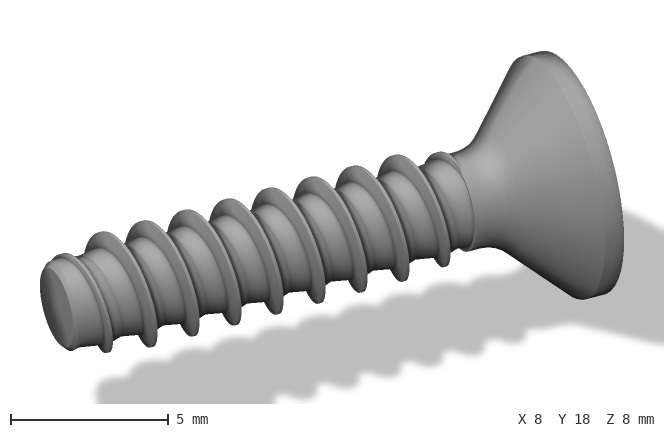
import cadquery as cq
import math

length = 18.0
head_radius = 4.0
rim_height = 0.68
rim_edge_fillet = 0.04
shank_radius = 1.58
shank_end_depth = 4.1
neck_radius = 1.48
tip_cone_height = 0.05
tip_radius = 1.39
tip_edge_bevel = 0.07

cone_angle = math.radians(45)
neck_start_radius = shank_radius + neck_radius * (1 - math.cos(cone_angle))
neck_start_depth = rim_height + (head_radius - neck_start_radius) / math.tan(cone_angle)
neck_end_depth = neck_start_depth + neck_radius * math.sin(cone_angle)

pitch = 1.45
crest_radius = 1.98
crest_half_width = 0.05
flank_width = 0.18
shoulder_radius = 1.51
root_radius = 1.4
head_side_slope_end = 0.55
tip_side_slope_end = pitch - head_side_slope_end

first_turn = -1
last_turn = 11
full_height_start = 1.0
full_height_end = 8.1
run_in_turns = 1.6
run_out_turns = 1.3
least_height_share = 0.05
points_per_turn = 24


def screw_body():
    """Head, neck and plain shank as one turned solid."""
    arc_center_radius = shank_radius + neck_radius
    half_angle = cone_angle / 2
    neck_middle = (
        arc_center_radius - neck_radius * math.cos(half_angle),
        neck_radius * math.sin(half_angle) - neck_end_depth,
    )
    body = (
        cq.Workplane("XY")
        .lineTo(head_radius, 0)
        .lineTo(head_radius, -rim_height)
        .lineTo(neck_start_radius, -neck_start_depth)
        .threePointArc(neck_middle, (shank_radius, -neck_end_depth))
        .lineTo(shank_radius, -shank_end_depth)
        .lineTo(0, -shank_end_depth)
        .close()
        .revolve(360, (0, 0, 0), (0, 1, 0))
    )
    rim_edges = body.edges("%CIRCLE").filter(lambda edge: math.isclose(edge.radius(), head_radius))
    return rim_edges.fillet(rim_edge_fillet)


def height_share(turn):
    """Share of the full ridge height, fading at the run-in and run-out."""
    run_in = 1 - (full_height_start - turn) / run_in_turns
    run_out = 1 - (turn - full_height_end) / run_out_turns
    return max(least_height_share, min(1, run_in, run_out))


def ridge_section(turn):
    """(radius, depth from the crest) of the corners along one pitch, head side first."""
    share = height_share(turn)
    crest = shoulder_radius + share * (crest_radius - shoulder_radius)
    foot = crest_half_width + share * flank_width
    return [
        (root_radius, -head_side_slope_end),
        (shoulder_radius, -foot),
        (crest, -crest_half_width),
        (crest, crest_half_width),
        (shoulder_radius, foot),
        (root_radius, tip_side_slope_end),
    ]


def ridge_point(turn, corner):
    radius, offset = corner
    angle = 2 * math.pi * turn
    depth = shank_end_depth + pitch * turn + offset
    return cq.Vector(-radius * math.sin(angle), -depth, radius * math.cos(angle))


def axis_point(turn):
    """Point on the axis level with the head-side end of the section."""
    return ridge_point(turn, (0, -head_side_slope_end))


def corner_curves(start_turn):
    """Curves traced over one turn by the corners of the section."""
    turns = [start_turn + i / points_per_turn for i in range(points_per_turn + 1)]
    sections = [[ridge_point(t, corner) for corner in ridge_section(t)] for t in turns]
    return [cq.Edge.makeSpline(list(path)) for path in zip(*sections)]


def rod_end(turn, boundary):
    """Flat step on one side of the axis, and a helicoid from the axis to the boundary."""
    corners = [ridge_point(turn, corner) for corner in ridge_section(turn)]
    outline = [axis_point(turn)] + corners + [axis_point(turn + 1)]
    step = cq.Face.makeFromWires(cq.Wire.makePolygon(outline, close=True))
    axis = cq.Edge.makeLine(axis_point(turn), axis_point(turn + 1))
    return [step, cq.Face.makeRuledSurface(axis, boundary)]


def threaded_rod():
    """Core and ridge together; each turn's last curve is the next turn's first."""
    turn_curves = [corner_curves(turn) for turn in range(first_turn, last_turn)]
    faces = []
    for curves in turn_curves:
        for curve, following in zip(curves, curves[1:]):
            faces.append(cq.Face.makeRuledSurface(curve, following))
    faces += rod_end(first_turn, turn_curves[0][0])
    faces += rod_end(last_turn, turn_curves[-1][-1])
    return cq.Workplane(obj=cq.Solid.makeSolid(cq.Shell.makeShell(faces)).fix())


def thread_envelope():
    """Space between the plain shank and the shallow, bevelled cone of the tip."""
    bevel_end_depth = length - tip_cone_height - tip_edge_bevel
    flare = head_radius - tip_radius
    return (
        cq.Workplane("XY")
        .moveTo(0, -length)
        .lineTo(tip_radius - tip_edge_bevel, tip_cone_height - length)
        .lineTo(tip_radius, -bevel_end_depth)
        .lineTo(head_radius, flare - bevel_end_depth)
        .lineTo(head_radius, -shank_end_depth)
        .lineTo(0, -shank_end_depth)
        .close()
        .revolve(360, (0, 0, 0), (0, 1, 0))
    )


thread = threaded_rod().intersect(thread_envelope())
result = screw_body().union(thread)